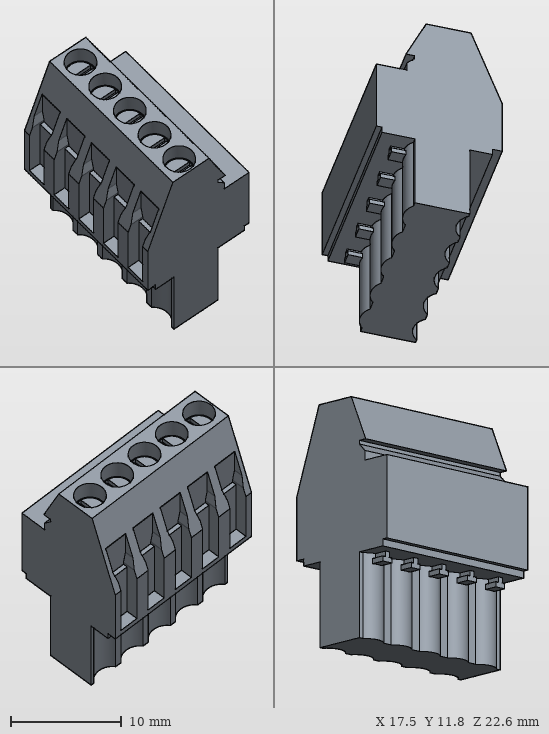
import cadquery as cq

pole_count = 5
pitch = 3.5
width = pole_count * pitch
depth = 11.83
height = 22.6
pole_positions = [(i - (pole_count - 1) / 2) * pitch for i in range(pole_count)]

flange_bottom = 7.97
step_height = 0.65
step_top = flange_bottom + step_height
front_step = 0.92
back_step = 0.53
front_kink_z = 14.55
top_front_y = 2.93
top_back_y = 7.16
shoulder_z = 16.37
neck_y = 8.95
hook_tip_y = 9.05
hook_bottom_z = 18.34
hook_groove_y = 8.23
hook_groove_wall = 0.35
hook_bevel = neck_y - hook_groove_y

plug_front_y = 3.05
plug_back_y = 8.22
socket_chord = 2.8
groove_sag = 0.74
bulge_chord = 2.6
bulge_sag = 0.56

tab_back_y = 10.07
tab_step_height = 0.49
tab_upper_width = 0.5
tab_lower_width = 1.1

entry_width = 2.56
slot_width = 2.05
entry_top_z = 19.13
taper_top_z = 16.6
taper_bottom_z = 15.45
ledge_z = 15.19
slot_floor_z = 9.2
entry_depth = 1.7
slot_depth = 1.24

screw_x_offset = 0.1
screw_y = 5.03
access_diameter = 2.95
access_depth = 1.85
screw_diameter = 2.75
screw_length = 5.0
screw_top_z = height - access_depth
drive_slot_width = 0.42
drive_slot_depth = 0.5


def vertical_cylinder(x, diameter, bottom_z, top_z):
    """Cylinder on the screw axis of the pole centred at x."""
    return (
        cq.Workplane("XY", origin=(x + screw_x_offset, screw_y, bottom_z))
        .circle(diameter / 2)
        .extrude(top_z - bottom_z)
    )


def arc_segment(x, base_y, chord, sag):
    """Upright bar from the plug's foot to the flange: a circle segment rising from base_y towards +Y."""
    return (
        cq.Workplane("XY")
        .moveTo(x - chord / 2, base_y)
        .threePointArc((x, base_y + sag), (x + chord / 2, base_y))
        .close()
        .extrude(flange_bottom)
    )


def housing_block():
    """Side profile extruded across all poles."""
    profile = [
        (plug_front_y, 0),
        (plug_back_y, 0),
        (plug_back_y, flange_bottom),
        (depth - back_step, flange_bottom),
        (depth - back_step, step_top),
        (depth, step_top),
        (depth, shoulder_z),
        (neck_y, shoulder_z),
        (neck_y, hook_bottom_z - hook_groove_wall - hook_bevel),
        (hook_groove_y, hook_bottom_z - hook_groove_wall),
        (hook_groove_y, hook_bottom_z),
        (hook_tip_y, hook_bottom_z),
        (top_back_y, height),
        (top_front_y, height),
        (0, front_kink_z),
        (0, step_top),
        (front_step, step_top),
        (front_step, flange_bottom),
        (plug_front_y, flange_bottom),
    ]
    return cq.Workplane("YZ", origin=(-width / 2, 0, 0)).polyline(profile).close().extrude(width)


def tab_block(x, tab_width, bottom_z, top_z):
    """Box from inside the socket bulge out to the back face of the tab."""
    length = tab_back_y - plug_back_y
    return (
        cq.Workplane("XY", origin=(x, plug_back_y + length / 2, bottom_z))
        .rect(tab_width, length)
        .extrude(top_z - bottom_z)
    )


def coding_tab(x):
    """Narrow block hanging from the flange with a wider block below it."""
    middle_z = flange_bottom - tab_step_height
    upper = tab_block(x, tab_upper_width, middle_z, flange_bottom)
    lower = tab_block(x, tab_lower_width, middle_z - tab_step_height, middle_z)
    return upper.union(lower)


def wire_entry(x):
    """Wide entry above a narrower, shallower slot, joined by tapered sides."""
    half_entry = entry_width / 2
    half_slot = slot_width / 2
    entry = (
        cq.Workplane("XZ", origin=(x, 0, 0))
        .polyline([
            (-half_slot, ledge_z),
            (half_slot, ledge_z),
            (half_slot, taper_bottom_z),
            (half_entry, taper_top_z),
            (half_entry, entry_top_z),
            (-half_entry, entry_top_z),
            (-half_entry, taper_top_z),
            (-half_slot, taper_bottom_z),
        ])
        .close()
        .extrude(-entry_depth)
    )
    slot = (
        cq.Workplane("XY", origin=(x, slot_depth / 2, slot_floor_z))
        .rect(slot_width, slot_depth)
        .extrude(ledge_z - slot_floor_z)
    )
    return entry.union(slot)


def screw_hole(x):
    """Access hole from the top and the bore that holds the screw."""
    access = vertical_cylinder(x, access_diameter, screw_top_z, height)
    bore = vertical_cylinder(x, screw_diameter, screw_top_z - screw_length, screw_top_z)
    return access.union(bore)


def make_housing():
    body = housing_block()
    for x in pole_positions:
        body = body.union(arc_segment(x, plug_back_y, bulge_chord, bulge_sag))
        body = body.union(coding_tab(x))
        body = body.cut(arc_segment(x, plug_front_y, socket_chord, groove_sag))
        body = body.cut(wire_entry(x))
        body = body.cut(screw_hole(x))
    return body


def make_screw(x):
    """Plain cylinder with a drive slot across its top."""
    shank = vertical_cylinder(x, screw_diameter, screw_top_z - screw_length, screw_top_z)
    drive_slot = (
        cq.Workplane("XY", origin=(x + screw_x_offset, screw_y, screw_top_z - drive_slot_depth))
        .rect(drive_slot_width, screw_diameter)
        .extrude(drive_slot_depth)
    )
    return shank.cut(drive_slot)


housing = make_housing()
screws = [make_screw(x) for x in pole_positions]

result = cq.Compound.makeCompound([housing.val(), *[screw.val() for screw in screws]])